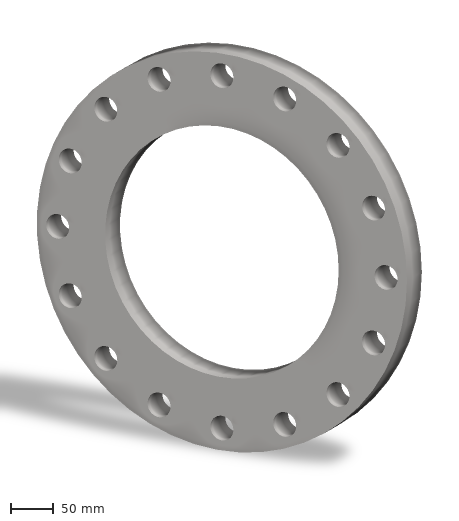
import cadquery as cq

outer_diameter = 485.0
bore_diameter = 306.0
thickness = 38.0

bolt_circle_diameter = 430.0
bolt_hole_diameter = 30.0
bolt_hole_count = 16


def ring_body():
    """Ring with its bore, front face at Y = -thickness and back face at Y = 0."""
    return (
        cq.Workplane("XZ")
        .circle(outer_diameter / 2)
        .circle(bore_diameter / 2)
        .extrude(thickness)
    )


def bolt_holes():
    """Cylinders to remove for the through holes on the bolt circle."""
    return (
        cq.Workplane("XZ")
        .polarArray(bolt_circle_diameter / 2, 0, 360, bolt_hole_count)
        .circle(bolt_hole_diameter / 2)
        .extrude(thickness)
    )


result = ring_body().cut(bolt_holes())